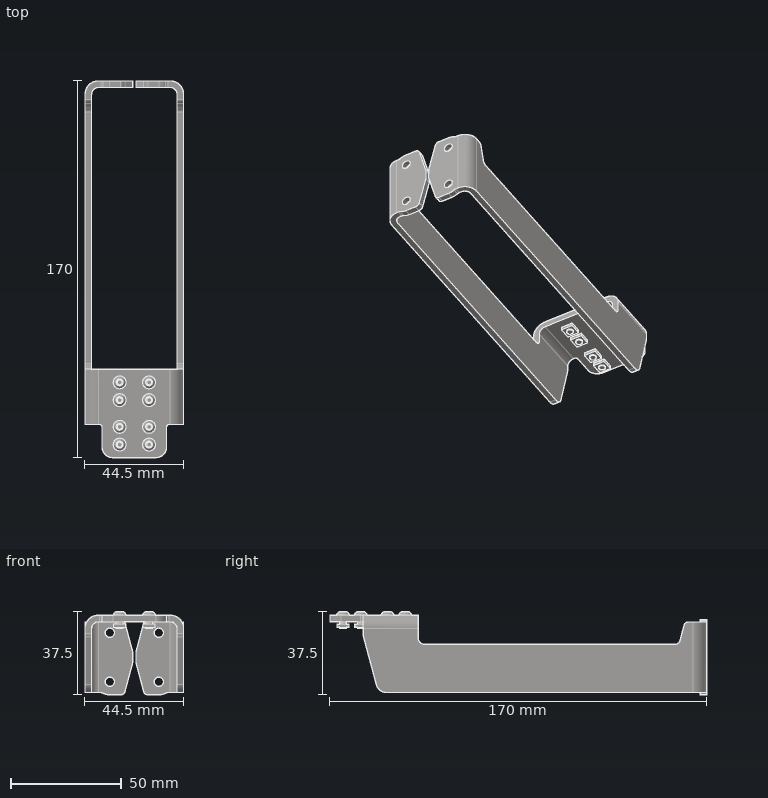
import cadquery as cq
import math

length = 170.0
width = 44.5
half_width = width / 2
sheet = 3.0
bend_radius = 6.1
taper = math.tan(math.radians(15))

flange_height = 34.0
flange_gap = 1.4
flange_tip_height = 5.0
flange_corner_radius = 2.0
flange_step = 1.0
flange_step_x = 15.1
flange_shoulder_radius = 6.0
flange_relief_radius = 2.0
flange_hole_diameter = 4.0
flange_hole_x = 11.0
flange_hole_spacing = 22.1

wall_bottom = flange_step
wall_rear_top = flange_height - flange_step
strip_top = 23.0
strip_rear_y = 157.5
rear_corner_radius = 2.0
rear_notch_radius = 2.0
toe_radius = 5.0

saddle_top = 36.0
saddle_front_y = 15.0
saddle_rear_y = 40.0
saddle_notch_radius = 2.5
wall_taper_top = 26.9
wall_taper_radius = 6.0
tongue_width = 29.2
tongue_corner_radius = 5.0
tongue_relief_radius = 1.0

screw_x = 6.6
screw_rows_y = (6.0, 14.0, 26.0, 34.0)
head_diameter = 5.8
head_top_diameter = 3.0
dome_middle_diameter = 5.1
head_height = 1.5
socket_across_flats = 2.0
socket_depth = 1.0
shank_diameter = 3.0
shank_length = 6.1
nut_width = 5.6
nut_height = 1.5
nut_drop = 4.0

bend_x = half_width - bend_radius
bend_y = length - bend_radius
saddle_bend_z = saddle_top - bend_radius
flange_middle_z = flange_height / 2


def quarter_bend(plane, height):
    """Quarter ring in the plane's first quadrant, extruded along its normal."""
    inner_radius = bend_radius - sheet
    ring = cq.Workplane(plane).circle(bend_radius).circle(inner_radius).extrude(height)
    quadrant = cq.Workplane(plane).rect(bend_radius, bend_radius, centered=False).extrude(height)
    return ring.intersect(quadrant)


def round_wall_corner(wall, y, z, radius):
    """Round the wall edge parallel to X that passes nearest to the given y and z."""
    corner = cq.NearestToPointSelector((half_width - sheet / 2, y, z))
    return wall.edges("|X").edges(corner).fillet(radius)


def side_wall():
    toe_y = saddle_front_y + taper * (wall_taper_top - wall_bottom)
    rear_shoulder_y = strip_rear_y + taper * (wall_rear_top - strip_top)
    wall = (
        cq.Workplane("YZ", origin=(half_width - sheet, 0, 0))
        .moveTo(toe_y, wall_bottom)
        .lineTo(bend_y, wall_bottom)
        .lineTo(bend_y, wall_rear_top)
        .lineTo(rear_shoulder_y, wall_rear_top)
        .lineTo(strip_rear_y, strip_top)
        .lineTo(saddle_rear_y, strip_top)
        .lineTo(saddle_rear_y, saddle_bend_z)
        .lineTo(saddle_front_y, saddle_bend_z)
        .lineTo(saddle_front_y, wall_taper_top)
        .close()
        .extrude(sheet)
    )
    rounded_corners = (
        (toe_y, wall_bottom, toe_radius),
        (saddle_front_y, wall_taper_top, wall_taper_radius),
        (rear_shoulder_y, wall_rear_top, rear_corner_radius),
        (strip_rear_y, strip_top, rear_notch_radius),
        (saddle_rear_y, strip_top, saddle_notch_radius),
    )
    for y, z, radius in rounded_corners:
        wall = round_wall_corner(wall, y, z, radius)
    return wall


def rear_bend():
    plane = cq.Plane(origin=(bend_x, bend_y, wall_bottom))
    return quarter_bend(plane, wall_rear_top - wall_bottom)


def rear_flange():
    tip_x = flange_gap / 2
    tip_low = flange_middle_z - flange_tip_height / 2
    corner_x = tip_x + taper * tip_low
    arc_sum = flange_relief_radius + flange_shoulder_radius
    step_run = math.sqrt(flange_step * (2 * arc_sum - flange_step))
    relief_share = flange_relief_radius / arc_sum
    shoulder_x = flange_step_x - step_run
    joint_x = flange_step_x - relief_share * step_run
    joint_rise = (1 - relief_share) * flange_step
    flange = (
        cq.Workplane("XZ", origin=(0, length, 0))
        .moveTo(bend_x, wall_bottom)
        .lineTo(flange_step_x, wall_bottom)
        .tangentArcPoint((joint_x, joint_rise), relative=False)
        .tangentArcPoint((shoulder_x, 0), relative=False)
        .lineTo(corner_x, 0)
        .lineTo(tip_x, tip_low)
        .lineTo(tip_x, flange_middle_z)
        .lineTo(bend_x, flange_middle_z)
        .close()
        .extrude(sheet)
    )
    corner = cq.NearestToPointSelector((corner_x, length - sheet / 2, 0))
    flange = flange.edges("|Y").edges(corner).fillet(flange_corner_radius)
    upper_half = flange.mirror("XY", (0, 0, flange_middle_z))
    flange = flange.union(upper_half)
    holes = (
        cq.Workplane("XZ", origin=(flange_hole_x, length, flange_middle_z))
        .rarray(1.7, flange_hole_spacing, 1, 2)
        .circle(flange_hole_diameter / 2)
        .extrude(sheet)
    )
    return flange.cut(holes)


def saddle_bend():
    plane = cq.Plane(origin=(bend_x, saddle_rear_y, saddle_bend_z), xDir=(1, 0, 0), normal=(0, -1, 0))
    return quarter_bend(plane, saddle_rear_y - saddle_front_y)


def saddle_plate():
    half_tongue = tongue_width / 2
    plate = (
        cq.Workplane("XY", origin=(0, 0, saddle_top - sheet))
        .moveTo(-half_tongue, 0)
        .lineTo(half_tongue, 0)
        .lineTo(half_tongue, saddle_front_y)
        .lineTo(bend_x, saddle_front_y)
        .lineTo(bend_x, saddle_rear_y)
        .lineTo(-bend_x, saddle_rear_y)
        .lineTo(-bend_x, saddle_front_y)
        .lineTo(-half_tongue, saddle_front_y)
        .close()
        .extrude(sheet)
    )
    middle_z = saddle_top - sheet / 2
    for x in (-half_tongue, half_tongue):
        front_corner = cq.NearestToPointSelector((x, 0, middle_z))
        plate = plate.edges("|Z").edges(front_corner).fillet(tongue_corner_radius)
        relief = cq.NearestToPointSelector((x, saddle_front_y, middle_z))
        plate = plate.edges("|Z").edges(relief).fillet(tongue_relief_radius)
    return plate


def screw():
    """Screw and nut on the Z axis, with the underside of the head at z = 0."""
    top_radius = head_top_diameter / 2
    head_radius = head_diameter / 2
    dome_middle = (dome_middle_diameter / 2, head_height / 2)
    head = (
        cq.Workplane("XZ")
        .lineTo(head_radius, 0)
        .threePointArc(dome_middle, (top_radius, head_height))
        .lineTo(0, head_height)
        .close()
        .revolve(360, (0, 0), (0, 1))
    )
    socket = (
        cq.Workplane("XY", origin=(0, 0, head_height - socket_depth))
        .polygon(6, socket_across_flats, circumscribed=True)
        .extrude(socket_depth)
    )
    shank = cq.Workplane("XY").circle(shank_diameter / 2).extrude(-shank_length)
    nut = (
        cq.Workplane("XY", origin=(0, 0, -nut_drop))
        .rect(nut_width, nut_width)
        .extrude(-nut_height)
    )
    return head.cut(socket).union(shank).union(nut)


right_half = side_wall().union(rear_bend()).union(rear_flange()).union(saddle_bend())
result = saddle_plate().union(right_half).union(right_half.mirror("YZ"))

fastener = screw()
for y in screw_rows_y:
    for x in (-screw_x, screw_x):
        result = result.union(fastener.translate((x, y, saddle_top)))